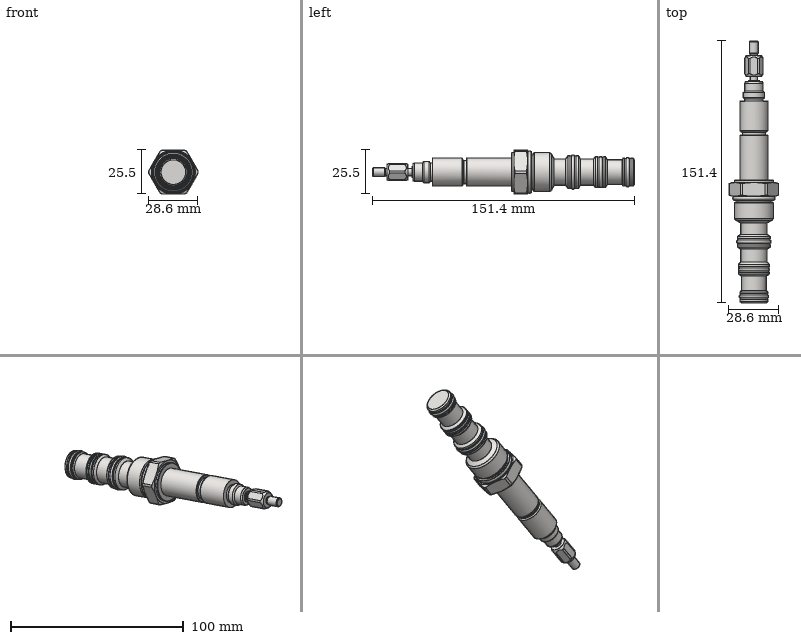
import cadquery as cq
import math

END_Y = 75.7
NOSE_Y = -END_Y

TIP_DIAMETER = 5.3
TIP_LENGTH = 7.4
TIP_CHAMFER = 0.5
STEM_DIAMETER = 4.4

NUT_TOP_Y = 67.4
NUT_LENGTH = 12.1
NUT_FLATS = 9.8
NUT_CORNERS = 10.7
NUT_FACE_DIAMETER = 9.0
NUT_CHAMFER_LENGTH = 1.7

SEAT_DIAMETER = 6.4
SEAT_HEIGHT = 0.5
CAP_TOP_Y = 52.4
CAP_TOP_DIAMETER = 9.8
CAP_DIAMETER = 10.7
CAP_CHAMFER_LENGTH = 1.0
BEAD_DIAMETER = 12.4
BEAD_TOP_Y = 46.8
BEAD_BOTTOM_Y = 42.2
BEAD_CHAMFER = (BEAD_DIAMETER - CAP_DIAMETER) / 2

TUBE_TOP_Y = 41.0
TUBE_DIAMETER = 16.3
NECK_DIAMETER = 13.5
NECK_SHOULDER_DIAMETER = 13.6
NECK_SHOULDER_Y = 22.9
NECK_TOP_Y = 23.3
NECK_BOTTOM_Y = 21.3
NECK_CHAMFER = 0.8
TUBE_EDGE_CHAMFER = 0.3

COLLAR_TOP_Y = -4.7
COLLAR_DIAMETER = 22.7
COLLAR_CHAMFER = 0.3
HEX_TOP_Y = -6.0
HEX_BOTTOM_Y = -14.0
HEX_FLATS = 25.5
HEX_CORNERS = 28.6
HEX_CHAMFER_LENGTH = 0.6

FLANGE_RING_DIAMETER = 24.5
FLANGE_RING_SECTION = 2.4
RING_SEAT_DIAMETER = 23.6
RING_SEAT_BOTTOM_Y = -16.2
UNDERCUT_DIAMETER = 19.8

SHANK_TOP_Y = -17.3
SHANK_DIAMETER = 22.7
SHANK_CHAMFER = 0.6
SHANK_BOTTOM_Y = -26.8
TAPER_DIAMETER = 20.9
TAPER_Y = -27.9
SHANK_END_Y = -29.4

SLEEVE_DIAMETER = 15.5
NOSE_SLEEVE_DIAMETER = 14.4

GLAND_WIDTH = 3.6
SEAL_SECTION = 1.8
BACKUP_RECESS = 0.2

UPPER_LAND_DIAMETER = 19.0
UPPER_LAND_TOP_Y = -37.2
UPPER_LAND_BOTTOM_Y = -43.3
UPPER_SEAL_DIAMETER = 20.0
MIDDLE_LAND_DIAMETER = 18.0
MIDDLE_LAND_TOP_Y = -53.3
MIDDLE_LAND_BOTTOM_Y = -58.9
MIDDLE_SEAL_DIAMETER = 18.0
NOSE_LAND_DIAMETER = 16.2
NOSE_LAND_TOP_Y = -69.2
NOSE_LAND_BOTTOM_Y = -75.0
NOSE_SEAL_DIAMETER = 17.1
NOSE_FACE_DIAMETER = 14.2
LAND_LEAD_IN = 1.2
LAND_RUN_OUT = 1.2
NOSE_LEAD_IN = 0.6
GLAND_OFFSET = 1.2
NOSE_GLAND_OFFSET = 0.9


def turned(stations):
    """Solid of revolution about Y through (y, diameter) stations listed from +Y to -Y."""
    outline = [(0, stations[0][0])]
    outline += [(diameter / 2, y) for y, diameter in stations]
    outline += [(0, stations[-1][0])]
    return cq.Workplane("XY").polyline(outline).close().revolve(360, (0, 0), (0, 1))


def seal_ring(center_y, outer_diameter, section):
    """Round-section ring about Y."""
    center_radius = (outer_diameter - section) / 2
    return (
        cq.Workplane("XY")
        .center(center_radius, center_y)
        .circle(section / 2)
        .revolve(360, (-center_radius, 0), (-center_radius, 1))
    )


def hexagon(top_y, bottom_y, flats, corners, face_diameter, chamfer_length):
    """Hexagonal prism along Y, flats facing +Z and -Z, with its corners and both ends turned."""
    prism = (
        cq.Workplane("XZ", origin=(0, top_y, 0))
        .polygon(6, flats / math.cos(math.pi / 6))
        .extrude(top_y - bottom_y)
    )
    envelope = turned([
        (top_y, face_diameter),
        (top_y - chamfer_length, corners),
        (bottom_y + chamfer_length, corners),
        (bottom_y, face_diameter),
    ])
    return prism.intersect(envelope)


def land_stations(top_y, bottom_y, diameter, gland_top_y, seal_diameter):
    """Stations of a cylindrical land whose gland has a backup band on each side of the seal groove.

    The groove floor lies at the middle of the seal section, so the seal fills it.
    """
    gland_bottom_y = gland_top_y - GLAND_WIDTH
    seal_y = gland_top_y - GLAND_WIDTH / 2
    groove_top_y = seal_y + SEAL_SECTION / 2
    groove_bottom_y = seal_y - SEAL_SECTION / 2
    backup_diameter = diameter - 2 * BACKUP_RECESS
    floor_diameter = seal_diameter - SEAL_SECTION
    return [
        (top_y, diameter),
        (gland_top_y, diameter),
        (gland_top_y, backup_diameter),
        (groove_top_y, backup_diameter),
        (groove_top_y, floor_diameter),
        (groove_bottom_y, floor_diameter),
        (groove_bottom_y, backup_diameter),
        (gland_bottom_y, backup_diameter),
        (gland_bottom_y, diameter),
        (bottom_y, diameter),
    ]


def make_cartridge():
    """Valve cartridge: cap, tube, wrench hexagon, shank and three seal lands, with the seal rings."""
    upper_gland_y = UPPER_LAND_TOP_Y - GLAND_OFFSET
    middle_gland_y = MIDDLE_LAND_TOP_Y - GLAND_OFFSET
    nose_gland_y = NOSE_LAND_TOP_Y - NOSE_GLAND_OFFSET

    cap = [
        (CAP_TOP_Y + SEAT_HEIGHT, SEAT_DIAMETER),
        (CAP_TOP_Y, SEAT_DIAMETER),
        (CAP_TOP_Y, CAP_TOP_DIAMETER),
        (CAP_TOP_Y - CAP_CHAMFER_LENGTH, CAP_DIAMETER),
        (BEAD_TOP_Y, CAP_DIAMETER),
        (BEAD_TOP_Y - BEAD_CHAMFER, BEAD_DIAMETER),
        (BEAD_BOTTOM_Y + BEAD_CHAMFER, BEAD_DIAMETER),
        (BEAD_BOTTOM_Y, CAP_DIAMETER),
        (TUBE_TOP_Y, CAP_DIAMETER),
    ]
    tube = [
        (TUBE_TOP_Y, TUBE_DIAMETER),
        (NECK_TOP_Y + NECK_CHAMFER, TUBE_DIAMETER),
        (NECK_TOP_Y, TUBE_DIAMETER - 2 * NECK_CHAMFER),
        (NECK_TOP_Y, NECK_SHOULDER_DIAMETER),
        (NECK_SHOULDER_Y, NECK_SHOULDER_DIAMETER),
        (NECK_SHOULDER_Y, NECK_DIAMETER),
        (NECK_BOTTOM_Y, NECK_DIAMETER),
        (NECK_BOTTOM_Y, TUBE_DIAMETER - 2 * TUBE_EDGE_CHAMFER),
        (NECK_BOTTOM_Y - TUBE_EDGE_CHAMFER, TUBE_DIAMETER),
        (COLLAR_TOP_Y, TUBE_DIAMETER),
    ]
    collar_and_undercut = [
        (COLLAR_TOP_Y, COLLAR_DIAMETER - 2 * COLLAR_CHAMFER),
        (COLLAR_TOP_Y - COLLAR_CHAMFER, COLLAR_DIAMETER),
        (HEX_BOTTOM_Y, COLLAR_DIAMETER),
        (HEX_BOTTOM_Y, RING_SEAT_DIAMETER),
        (RING_SEAT_BOTTOM_Y, RING_SEAT_DIAMETER),
        (RING_SEAT_BOTTOM_Y, UNDERCUT_DIAMETER),
        (SHANK_TOP_Y, UNDERCUT_DIAMETER),
    ]
    shank = [
        (SHANK_TOP_Y, SHANK_DIAMETER - 2 * SHANK_CHAMFER),
        (SHANK_TOP_Y - SHANK_CHAMFER, SHANK_DIAMETER),
        (SHANK_BOTTOM_Y, SHANK_DIAMETER),
        (TAPER_Y, TAPER_DIAMETER),
        (SHANK_END_Y, SLEEVE_DIAMETER),
    ]
    upper_land = [
        (UPPER_LAND_TOP_Y + LAND_LEAD_IN, SLEEVE_DIAMETER),
        *land_stations(
            UPPER_LAND_TOP_Y,
            UPPER_LAND_BOTTOM_Y,
            UPPER_LAND_DIAMETER,
            upper_gland_y,
            UPPER_SEAL_DIAMETER,
        ),
        (UPPER_LAND_BOTTOM_Y - LAND_RUN_OUT, SLEEVE_DIAMETER),
    ]
    middle_land = [
        (MIDDLE_LAND_TOP_Y + LAND_LEAD_IN, SLEEVE_DIAMETER),
        *land_stations(
            MIDDLE_LAND_TOP_Y,
            MIDDLE_LAND_BOTTOM_Y,
            MIDDLE_LAND_DIAMETER,
            middle_gland_y,
            MIDDLE_SEAL_DIAMETER,
        ),
        (MIDDLE_LAND_BOTTOM_Y - LAND_RUN_OUT, NOSE_SLEEVE_DIAMETER),
    ]
    nose_land = [
        (NOSE_LAND_TOP_Y + NOSE_LEAD_IN, NOSE_SLEEVE_DIAMETER),
        *land_stations(
            NOSE_LAND_TOP_Y,
            NOSE_LAND_BOTTOM_Y,
            NOSE_LAND_DIAMETER,
            nose_gland_y,
            NOSE_SEAL_DIAMETER,
        ),
        (NOSE_Y, NOSE_FACE_DIAMETER),
    ]
    body = turned(
        cap + tube + collar_and_undercut + shank + upper_land + middle_land + nose_land
    )

    wrench_hex = hexagon(
        HEX_TOP_Y, HEX_BOTTOM_Y, HEX_FLATS, HEX_CORNERS, HEX_FLATS, HEX_CHAMFER_LENGTH
    )
    body = body.union(wrench_hex)

    flange_ring_y = HEX_BOTTOM_Y - FLANGE_RING_SECTION / 2
    body = body.union(seal_ring(flange_ring_y, FLANGE_RING_DIAMETER, FLANGE_RING_SECTION))
    seals = [
        (upper_gland_y, UPPER_SEAL_DIAMETER),
        (middle_gland_y, MIDDLE_SEAL_DIAMETER),
        (nose_gland_y, NOSE_SEAL_DIAMETER),
    ]
    for gland_top_y, seal_diameter in seals:
        body = body.union(seal_ring(gland_top_y - GLAND_WIDTH / 2, seal_diameter, SEAL_SECTION))
    return body


def make_stem():
    """Adjusting stem standing on the seat of the cap, with a thicker tip."""
    tip_bottom_y = END_Y - TIP_LENGTH
    return turned([
        (END_Y, TIP_DIAMETER - 2 * TIP_CHAMFER),
        (END_Y - TIP_CHAMFER, TIP_DIAMETER),
        (tip_bottom_y + TIP_CHAMFER, TIP_DIAMETER),
        (tip_bottom_y, STEM_DIAMETER),
        (CAP_TOP_Y + SEAT_HEIGHT, STEM_DIAMETER),
    ])


def make_locknut():
    """Hexagonal locknut bored to fit the stem."""
    bottom_y = NUT_TOP_Y - NUT_LENGTH
    blank = hexagon(
        NUT_TOP_Y, bottom_y, NUT_FLATS, NUT_CORNERS, NUT_FACE_DIAMETER, NUT_CHAMFER_LENGTH
    )
    bore = turned([(NUT_TOP_Y, STEM_DIAMETER), (bottom_y, STEM_DIAMETER)])
    return blank.cut(bore)


cartridge = make_cartridge()
stem = make_stem()
locknut = make_locknut()

result = cq.Compound.makeCompound([cartridge.val(), stem.val(), locknut.val()])